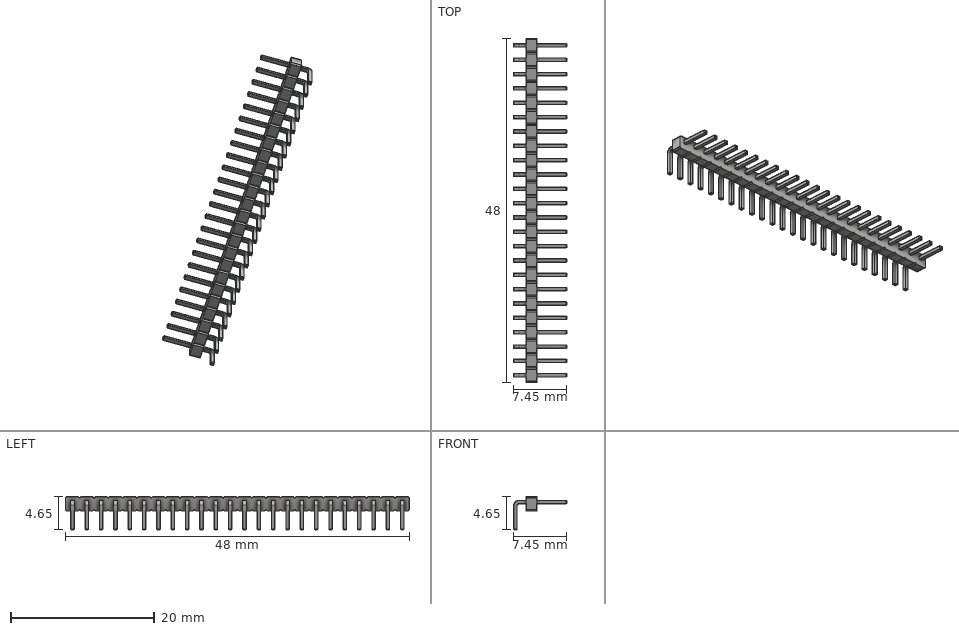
import cadquery as cq

pin_count = 24
pitch = 2.0
overall_length = 7.45
overall_height = 4.65

body_depth = 1.5
body_height = 2.0
body_start_x = 1.75
segment_chamfer = 0.2

pin_width = 0.5
pin_top_z = -0.5
bend_inner_radius = 0.25
tip_chamfer = pin_width / 4


def pin_center_y(index):
    """Y position of a pin, with the row centred on Y = 0."""
    return (index - (pin_count - 1) / 2) * pitch


def make_segment():
    """One block of the body, with its four X-direction edges chamfered."""
    segment = cq.Workplane("XY").box(body_depth, pitch, body_height, centered=(False, True, False))
    segment = segment.translate((body_start_x, 0, -body_height))
    return segment.edges("|X").chamfer(segment_chamfer)


def make_pin():
    """An L-shaped pin with a rounded bend and both tips tapered on all four sides."""
    horizontal_leg = cq.Workplane("XY").box(
        overall_length, pin_width, pin_width, centered=(False, True, False)
    ).translate((0, 0, pin_top_z - pin_width))
    vertical_leg = cq.Workplane("XY").box(
        pin_width, pin_width, overall_height + pin_top_z, centered=(False, True, False)
    ).translate((0, 0, -overall_height))
    pin = horizontal_leg.union(vertical_leg).clean()

    inner_corner = cq.selectors.NearestToPointSelector((pin_width, 0, pin_top_z - pin_width))
    pin = pin.edges("|Y").edges(inner_corner).fillet(bend_inner_radius)
    outer_corner = cq.selectors.NearestToPointSelector((0, 0, pin_top_z))
    pin = pin.edges("|Y").edges(outer_corner).fillet(bend_inner_radius + pin_width)

    pin = pin.faces(">X").chamfer(tip_chamfer)
    return pin.faces("<Z").chamfer(tip_chamfer)


contact = make_segment().union(make_pin())
result = contact.translate((0, pin_center_y(0), 0))
for pin_index in range(1, pin_count):
    result = result.union(contact.translate((0, pin_center_y(pin_index), 0)))